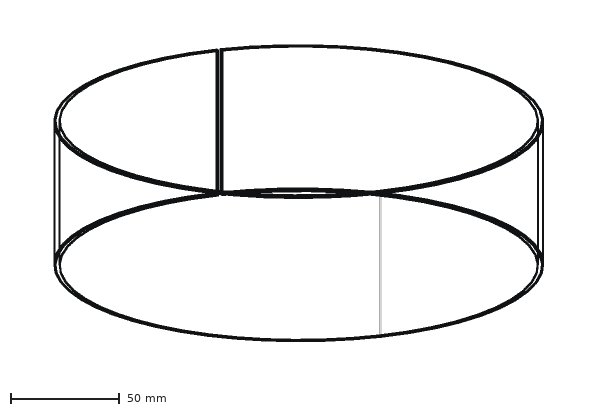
import cadquery as cq

outer_diameter = 225.0
wall = 2.5
height = 70.0
gap_width = 2.0
edge_chamfer = 0.5

outer_radius = outer_diameter / 2
inner_radius = outer_radius - wall


def ring():
    """Plain band, with the outer edge of both rims chamfered."""
    band = cq.Workplane("XY").circle(outer_radius).circle(inner_radius).extrude(height)
    band = band.translate((0, 0, -height / 2))
    outer_edges = cq.selectors.RadiusNthSelector(-1)
    return band.faces("|Z").edges(outer_edges).chamfer(edge_chamfer)


def gap_cutter():
    """Full-height slit through the wall on the -X side, with one face on the XZ plane."""
    cutter = cq.Workplane("XY").box(4 * wall, gap_width, 2 * height)
    return cutter.translate((-outer_radius, gap_width / 2, 0))


result = ring().cut(gap_cutter())